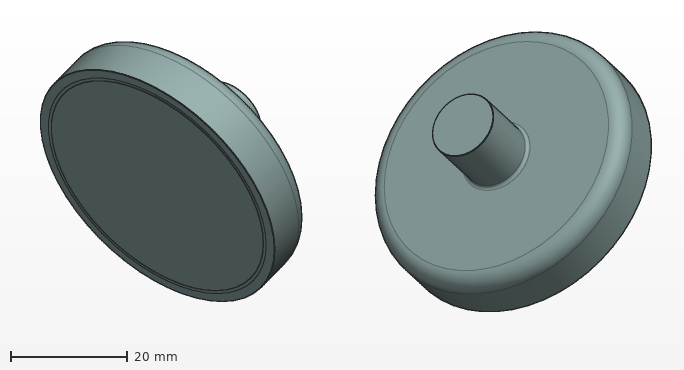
import cadquery as cq

housing_diameter = 50.0
housing_height = 10.0
shoulder_radius = 3.0

stud_diameter = 12.0
total_height = 22.0
stud_root_radius = 0.6

edge_break = 0.1
magnet_edge_break = edge_break / 2

recess_diameter = 46.4
magnet_diameter = 45.2
wall_thickness = (housing_diameter - recess_diameter) / 2
recess_depth = housing_height - wall_thickness


def disc(diameter, height):
    """Solid cylinder that runs from the holding face toward +Y."""
    return cq.Workplane("XZ").circle(diameter / 2).extrude(-height)


def make_housing():
    """Cup with a rounded shoulder, a filleted stud and an open recess."""
    cup = disc(housing_diameter, housing_height)
    cup = cup.edges(">Y").fillet(shoulder_radius)
    cup = cup.edges("<Y").chamfer(edge_break)
    stud = disc(stud_diameter, total_height).edges(">Y").chamfer(edge_break)
    body = cup.union(stud)

    root_zone = cq.selectors.BoxSelector(
        (-stud_diameter, housing_height - stud_root_radius, -stud_diameter),
        (stud_diameter, housing_height + stud_root_radius, stud_diameter),
    )
    root_edge = body.edges(root_zone).edges(cq.selectors.RadiusNthSelector(0))
    body = root_edge.fillet(stud_root_radius)

    return body.cut(disc(recess_diameter, recess_depth))


def make_filler_ring():
    """Thin sleeve that fills the gap between magnet and housing."""
    return disc(recess_diameter, recess_depth).cut(disc(magnet_diameter, recess_depth))


def make_magnet():
    """Magnet disc, flush with the rim of the housing."""
    return disc(magnet_diameter, recess_depth).edges("<Y").chamfer(magnet_edge_break)


housing = make_housing()
filler_ring = make_filler_ring()
magnet = make_magnet()

result = cq.Compound.makeCompound([housing.val(), filler_ring.val(), magnet.val()])